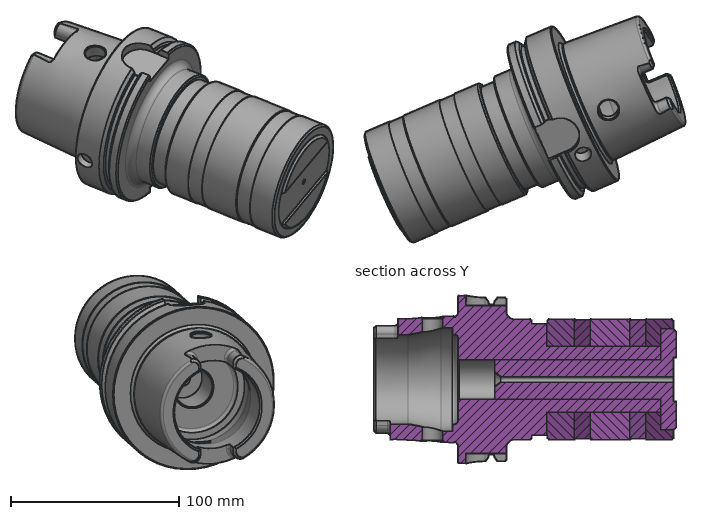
import cadquery as cq
import math

OVERALL_LENGTH = 179.9

TAPER_FRONT_RADIUS = 35.5
TAPER_SLOPE = 0.05
TAPER_END = 47.5
TAPER_ROUNDING = 1.6
UNDERCUT_RADIUS = 37.2
UNDERCUT_END = 49.0
FOOT_RADIUS = 39.2

FLANGE_RADIUS = 50.0
FLANGE_START = 50.0
FLANGE_WIDTH = 29.0
FLANGE_FRONT_CHAMFER = 0.5
FLANGE_REAR_CHAMFER = 0.9
GROOVE_CENTER = 70.0
GROOVE_MOUTH_WIDTH = 7.2
GROOVE_NECK_WIDTH = 3.6
GROOVE_NECK_RADIUS = 47.7
GROOVE_BOTTOM_WIDTH = 2.7
GROOVE_BOTTOM_RADIUS = 46.0

COLLAR_RADIUS = 36.0
COLLAR_FILLET = 4.7
COLLAR_END = 94.0
COLLAR_CHAMFER = 0.9
NECK_RADIUS = 33.3

RING_START = 103.0
LARGE_RING_RADIUS = COLLAR_RADIUS
SMALL_RING_RADIUS = 35.6
FIRST_RING_WIDTH = 16.4
SMALL_RING_WIDTH = 9.5
MIDDLE_RING_WIDTH = 23.4
LAST_RING_WIDTH = 16.4
RING_CHAMFER = 1.0
SMALL_RING_CHAMFER = 0.5
SHANK_RADIUS = 19.8

BORE_RADIUS = 26.5
BORE_MOUTH_CHAMFER = 1.0
BORE_STRAIGHT_DEPTH = 20.3
BORE_WIDE_RADIUS = 30.5
BORE_WIDE_START = 39.8
BORE_WIDE_END = 46.8
BORE_DEPTH = 50.0
BORE_FLOOR_FILLET = 1.8

SLOT_HALF_WIDTH = 10.0
SLOT_FLARE_RADIUS = 4.9
SLOT_FLARE_HEIGHT = 32.0
SLOT_FLOOR_FILLET = 1.8
SLOT_MOUTH_BEVEL = 1.6
TOP_SLOT_DEPTH = 14.4
BOTTOM_SLOT_DEPTH = 9.7

WRENCH_HOLE_X = 34.9
WRENCH_HOLE_RADIUS = 6.0
WRENCH_HOLE_CHAMFER = 0.5
CHIP_HOLE_X = 56.7
CHIP_HOLE_RADIUS = 5.0
CHIP_HOLE_DEPTH = 4.7
TILTED_HOLE_X = 58.6
TILTED_HOLE_RADIUS = 4.9
TILTED_HOLE_DEPTH = 9.0
TILTED_HOLE_ANGLE = 71.0

KEYWAY_WIDTH = 22.1
KEYWAY_START = 54.9
KEYWAY_FLOOR = 44.0

SCREW_RADIUS = 11.7
SCREW_TIP = 72.0
SCREW_BORE_CHAMFER = 0.7
SCREW_HEAD_RADIUS = 29.9
SCREW_HEAD_CHAMFER = 1.5
SCREW_HEAD_THICKNESS = 9.0
SCREW_SLOT_WIDTH = 25.9
COOLANT_HOLE_RADIUS = 1.5
COOLANT_CONE_RADIUS = 4.3
COOLANT_CONE_DEPTH = 3.6

FLANGE_END = FLANGE_START + FLANGE_WIDTH
RING_END = RING_START + FIRST_RING_WIDTH + MIDDLE_RING_WIDTH + LAST_RING_WIDTH + 2 * SMALL_RING_WIDTH
SCREW_HEAD_SEAT = OVERALL_LENGTH - SCREW_HEAD_THICKNESS

HALF_DIAGONAL = math.sqrt(0.5)


def turned(outline):
    """Revolve a closed outline, drawn as X and radius, about the X axis."""
    return outline.close().revolve(360, (0, 0, 0), (1, 0, 0))


def turned_points(points):
    return turned(cq.Workplane("XY").polyline(points))


def rod(start, end, radius):
    """Cylinder on the X axis."""
    return cq.Workplane("YZ", origin=(start, 0, 0)).circle(radius).extrude(end - start)


def half_turned(body):
    """The same body turned half a turn about the X axis, from above to below."""
    return body.rotate((0, 0, 0), (1, 0, 0), 180)


def arbor_blank():
    """Solid turned shape from the taper to the end of the shank."""
    taper_end_radius = TAPER_FRONT_RADIUS + TAPER_SLOPE * TAPER_END
    undercut_depth = taper_end_radius - UNDERCUT_RADIUS
    fillet_start_radius = COLLAR_RADIUS + COLLAR_FILLET
    fillet_reach = COLLAR_FILLET * (1 - HALF_DIAGONAL)
    outline = (
        cq.Workplane("XY")
        .moveTo(0, 0)
        .lineTo(0, TAPER_FRONT_RADIUS)
        .lineTo(TAPER_END, taper_end_radius)
        .lineTo(TAPER_END + undercut_depth, UNDERCUT_RADIUS)
        .lineTo(UNDERCUT_END - undercut_depth, UNDERCUT_RADIUS)
        .lineTo(UNDERCUT_END, taper_end_radius)
        .lineTo(FLANGE_START, FOOT_RADIUS)
        .lineTo(FLANGE_START, FLANGE_RADIUS - FLANGE_FRONT_CHAMFER)
        .lineTo(FLANGE_START + FLANGE_FRONT_CHAMFER, FLANGE_RADIUS)
        .lineTo(GROOVE_CENTER - GROOVE_MOUTH_WIDTH / 2, FLANGE_RADIUS)
        .lineTo(GROOVE_CENTER - GROOVE_NECK_WIDTH / 2, GROOVE_NECK_RADIUS)
        .lineTo(GROOVE_CENTER - GROOVE_BOTTOM_WIDTH / 2, GROOVE_BOTTOM_RADIUS)
        .lineTo(GROOVE_CENTER + GROOVE_BOTTOM_WIDTH / 2, GROOVE_BOTTOM_RADIUS)
        .lineTo(GROOVE_CENTER + GROOVE_NECK_WIDTH / 2, GROOVE_NECK_RADIUS)
        .lineTo(GROOVE_CENTER + GROOVE_MOUTH_WIDTH / 2, FLANGE_RADIUS)
        .lineTo(FLANGE_END - FLANGE_REAR_CHAMFER, FLANGE_RADIUS)
        .lineTo(FLANGE_END, FLANGE_RADIUS - FLANGE_REAR_CHAMFER)
        .lineTo(FLANGE_END, fillet_start_radius)
        .threePointArc(
            (FLANGE_END + fillet_reach, COLLAR_RADIUS + fillet_reach),
            (FLANGE_END + COLLAR_FILLET, COLLAR_RADIUS),
        )
        .lineTo(COLLAR_END - COLLAR_CHAMFER, COLLAR_RADIUS)
        .lineTo(COLLAR_END, COLLAR_RADIUS - COLLAR_CHAMFER)
        .lineTo(COLLAR_END, NECK_RADIUS)
        .lineTo(RING_START, NECK_RADIUS)
        .lineTo(RING_START, SHANK_RADIUS)
        .lineTo(SCREW_HEAD_SEAT, SHANK_RADIUS)
        .lineTo(SCREW_HEAD_SEAT, 0)
    )
    return turned(outline)


def slot_section(x, growth):
    """Slot outline at X = x, widened by growth: straight sides that flare outwards in a quarter arc."""
    half_width = SLOT_HALF_WIDTH + growth
    flare_radius = SLOT_FLARE_RADIUS - growth
    flare_start = SLOT_FLARE_HEIGHT - SLOT_FLARE_RADIUS
    flare_height = flare_start + flare_radius
    flare_y = half_width + flare_radius
    arc_y = flare_y - flare_radius * HALF_DIAGONAL
    arc_z = flare_start + flare_radius * HALF_DIAGONAL
    outside = FLANGE_RADIUS
    return (
        cq.Workplane("YZ", origin=(x, 0, 0))
        .moveTo(-half_width, 0)
        .lineTo(half_width, 0)
        .lineTo(half_width, flare_start)
        .threePointArc((arc_y, arc_z), (flare_y, flare_height))
        .lineTo(outside, flare_height)
        .lineTo(outside, outside)
        .lineTo(-outside, outside)
        .lineTo(-outside, flare_height)
        .lineTo(-flare_y, flare_height)
        .threePointArc((-arc_y, arc_z), (-half_width, flare_start))
        .close()
    )


def drive_slot(depth):
    """Slot above the axis with a rounded floor edge and a bevelled mouth."""
    slot = slot_section(0, 0).extrude(depth).faces(">X").edges().fillet(SLOT_FLOOR_FILLET)
    mouth_wires = [slot_section(0, SLOT_MOUTH_BEVEL).val(), slot_section(SLOT_MOUTH_BEVEL, 0).val()]
    mouth = cq.Solid.makeLoft(mouth_wires, True)
    return slot.union(cq.Workplane(mouth))


def taper_bore():
    """Bore with a chamfered mouth, a wider chamber and a rounded floor edge."""
    fillet_start = BORE_DEPTH - BORE_FLOOR_FILLET
    floor_radius = BORE_RADIUS - BORE_FLOOR_FILLET
    outline = (
        cq.Workplane("XY")
        .moveTo(0, 0)
        .lineTo(0, BORE_RADIUS + BORE_MOUTH_CHAMFER)
        .lineTo(BORE_MOUTH_CHAMFER, BORE_RADIUS)
        .lineTo(BORE_STRAIGHT_DEPTH, BORE_RADIUS)
        .lineTo(BORE_WIDE_START, BORE_WIDE_RADIUS)
        .lineTo(BORE_WIDE_END, BORE_WIDE_RADIUS)
        .lineTo(BORE_WIDE_END, BORE_RADIUS)
        .lineTo(fillet_start, BORE_RADIUS)
        .threePointArc(
            (
                fillet_start + BORE_FLOOR_FILLET * HALF_DIAGONAL,
                floor_radius + BORE_FLOOR_FILLET * HALF_DIAGONAL,
            ),
            (BORE_DEPTH, floor_radius),
        )
        .lineTo(BORE_DEPTH, 0)
    )
    return turned(outline)


def screw_bore():
    """Through bore from the floor of the taper bore to the seat of the screw head."""
    return turned_points([
        (BORE_DEPTH, 0),
        (BORE_DEPTH, SCREW_RADIUS + SCREW_BORE_CHAMFER),
        (BORE_DEPTH + SCREW_BORE_CHAMFER, SCREW_RADIUS),
        (SCREW_HEAD_SEAT, SCREW_RADIUS),
        (SCREW_HEAD_SEAT, 0),
    ])


def wrench_hole():
    """Hole along Z through both walls of the taper, with a conical rim on the outside."""
    wall_radius = TAPER_FRONT_RADIUS + TAPER_SLOPE * WRENCH_HOLE_X
    rim_radius = WRENCH_HOLE_RADIUS + WRENCH_HOLE_CHAMFER
    rim_height = math.sqrt(wall_radius ** 2 - rim_radius ** 2)
    half_outline = [
        (0, 0),
        (WRENCH_HOLE_RADIUS, 0),
        (WRENCH_HOLE_RADIUS, rim_height - WRENCH_HOLE_CHAMFER),
        (rim_radius, rim_height),
        (rim_radius, FLANGE_RADIUS),
        (0, FLANGE_RADIUS),
    ]
    upper_hole = (
        cq.Workplane("XZ", origin=(WRENCH_HOLE_X, 0, 0))
        .polyline(half_outline)
        .close()
        .revolve(360, (0, 0, 0), (0, 1, 0))
    )
    return upper_hole.union(half_turned(upper_hole))


def rim_hole(x, radius, depth, angle):
    """Blind hole from the rim of the flange towards the axis; the angle runs from -Y towards -Z."""
    hole = cq.Workplane("XZ", origin=(x, depth - FLANGE_RADIUS, 0)).circle(radius).extrude(depth)
    return hole.rotate((0, 0, 0), (1, 0, 0), angle)


def keyway():
    """Round-ended keyway above the axis, open towards the collar."""
    end_radius = KEYWAY_WIDTH / 2
    straight_start = KEYWAY_START + end_radius
    section = (
        cq.Workplane("XY", origin=(0, 0, KEYWAY_FLOOR))
        .moveTo(FLANGE_END, end_radius)
        .lineTo(straight_start, end_radius)
        .threePointArc((KEYWAY_START, 0), (straight_start, -end_radius))
        .lineTo(FLANGE_END, -end_radius)
        .close()
    )
    return section.extrude(FLANGE_RADIUS - KEYWAY_FLOOR)


def make_arbor():
    return (
        arbor_blank()
        .faces("<X")
        .edges()
        .fillet(TAPER_ROUNDING)
        .cut(drive_slot(TOP_SLOT_DEPTH))
        .cut(half_turned(drive_slot(BOTTOM_SLOT_DEPTH)))
        .cut(taper_bore())
        .cut(screw_bore())
        .cut(wrench_hole())
        .cut(keyway())
        .cut(half_turned(keyway()))
        .cut(rim_hole(CHIP_HOLE_X, CHIP_HOLE_RADIUS, CHIP_HOLE_DEPTH, 0))
        .cut(rim_hole(TILTED_HOLE_X, TILTED_HOLE_RADIUS, TILTED_HOLE_DEPTH, TILTED_HOLE_ANGLE))
    )


def make_ring(start, width, radius, front_chamfer, rear_chamfer):
    """Ring around the shank with a chamfer of its own on each outer edge, or none where it is 0."""
    end = start + width
    ring = rod(start, end, radius)
    if front_chamfer:
        ring = ring.faces("<X").edges().chamfer(front_chamfer)
    if rear_chamfer:
        ring = ring.faces(">X").edges().chamfer(rear_chamfer)
    return ring.cut(rod(start, end, SHANK_RADIUS))


def make_rings():
    """Five rings, each starting where the one before ends."""
    stack = [
        (FIRST_RING_WIDTH, LARGE_RING_RADIUS, RING_CHAMFER, 0),
        (SMALL_RING_WIDTH, SMALL_RING_RADIUS, 0, 0),
        (MIDDLE_RING_WIDTH, LARGE_RING_RADIUS, 0, 0),
        (SMALL_RING_WIDTH, SMALL_RING_RADIUS, SMALL_RING_CHAMFER, 0),
        (LAST_RING_WIDTH, LARGE_RING_RADIUS, 0, RING_CHAMFER),
    ]
    rings = []
    start = RING_START
    for width, radius, front_chamfer, rear_chamfer in stack:
        rings.append(make_ring(start, width, radius, front_chamfer, rear_chamfer))
        start += width
    head_recess = rod(SCREW_HEAD_SEAT, RING_END, SCREW_HEAD_RADIUS)
    rings[-1] = rings[-1].cut(head_recess)
    return rings


def make_clamp_screw():
    """Screw along the arbor with a slotted head and a coolant hole that opens in a cone at the tip."""
    body = turned_points([
        (SCREW_TIP, 0),
        (SCREW_TIP, SCREW_RADIUS),
        (SCREW_HEAD_SEAT, SCREW_RADIUS),
        (SCREW_HEAD_SEAT, SCREW_HEAD_RADIUS),
        (OVERALL_LENGTH - SCREW_HEAD_CHAMFER, SCREW_HEAD_RADIUS),
        (OVERALL_LENGTH, SCREW_HEAD_RADIUS - SCREW_HEAD_CHAMFER),
        (OVERALL_LENGTH, 0),
    ])
    head_slot = (
        cq.Workplane("YZ", origin=(RING_END, 0, 0))
        .rect(2 * FLANGE_RADIUS, SCREW_SLOT_WIDTH)
        .extrude(OVERALL_LENGTH - RING_END)
    )
    coolant_hole = turned_points([
        (SCREW_TIP, 0),
        (SCREW_TIP, COOLANT_CONE_RADIUS),
        (SCREW_TIP + COOLANT_CONE_DEPTH, COOLANT_HOLE_RADIUS),
        (OVERALL_LENGTH, COOLANT_HOLE_RADIUS),
        (OVERALL_LENGTH, 0),
    ])
    return body.cut(head_slot).cut(coolant_hole)


arbor = make_arbor()
rings = make_rings()
clamp_screw = make_clamp_screw()

result = cq.Compound.makeCompound([
    arbor.val(),
    *[ring.val() for ring in rings],
    clamp_screw.val(),
])